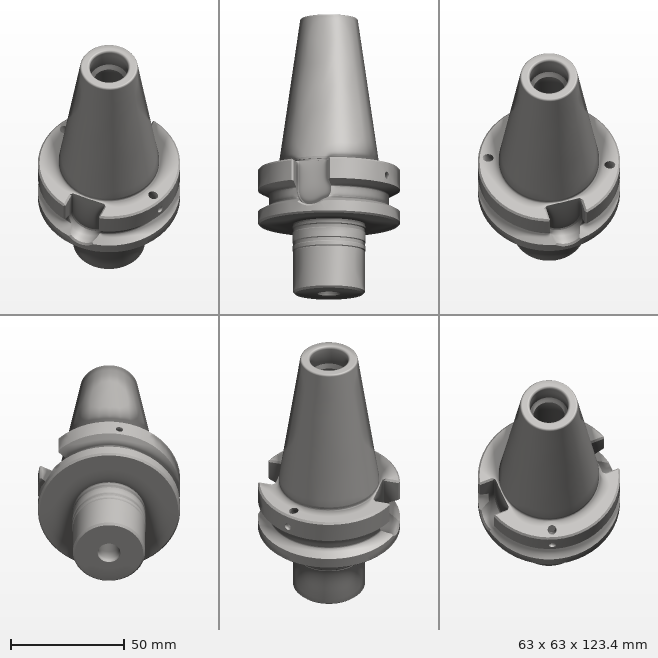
import cadquery as cq
import math


gauge_dia = 44.45
taper_length = 65.4
taper_rate = 7 / 24
taper_tip_dia = gauge_dia - taper_length * taper_rate
tip_fillet = 0.9
gauge_land_length = 1.0
neck_dia = 43.6
neck_fillet = 0.8

flange_dia = 63.0
flange_top_z = -2.0
flange_bottom_z = -27.0
flange_edge_chamfer = 0.8
groove_dia = 53.2
groove_mid_z = -16.55
groove_floor_width = 4.9
groove_rim_width = 9.9
groove_corner_radius = 0.5

spigot_dia = 32.5
nose_dia = 32.0
nose_top_z = -39.2
spigot_bottom_z = -58.0
spigot_end_chamfer = 0.9
relief_dia = 32.0
relief_length = 1.0
ring_grooves = [
    (-29.95, 2.2, 31.7),
    (-36.05, 2.2, 31.7),
    (nose_top_z, 1.0, 31.7),
]

through_dia = 10.11
thread_dia = 13.83
thread_end_z = taper_length - 30.0
pilot_dia = 17.0
pilot_depth = 9.0
mouth_fillet = 1.1
pilot_cone_angle = math.radians(45)
drill_cone_angle = math.radians(31)

slot_width = 16.1
slot_floor_y = 22.5
slot_bottom_z = -23.0
slot_edge_chamfer = 0.8
slot_floor_chamfer = 0.5

coolant_angles = (160, -20)
coolant_dia = 3.9
coolant_mouth_radius = 27.0
coolant_tilt = 35
coolant_end_z = -10.0
cross_hole_dia = 3.24
cross_hole_z = -8.1

cutter_overrun = 1.0
pick_margin = 0.05


def ring_selector(diameter, z):
    """Selector for the full circle of the given diameter around Z at height z."""
    half_size = diameter / 2 + pick_margin
    low_corner = (-half_size, -half_size, z - pick_margin)
    high_corner = (half_size, half_size, z + pick_margin)
    return cq.selectors.BoxSelector(low_corner, high_corner, boundingbox=True)


def make_body():
    """Turned outside shape."""
    flange_r = flange_dia / 2
    groove_r = groove_dia / 2
    spigot_r = spigot_dia / 2
    nose_r = nose_dia / 2
    half_rim = groove_rim_width / 2
    half_floor = groove_floor_width / 2
    relief_step = spigot_r - relief_dia / 2
    relief_end_z = flange_bottom_z - relief_length
    outline = [
        (0, taper_length),
        (taper_tip_dia / 2, taper_length),
        (gauge_dia / 2, 0),
        (gauge_dia / 2, -gauge_land_length),
        (neck_dia / 2, -gauge_land_length),
        (neck_dia / 2, flange_top_z),
        (flange_r - flange_edge_chamfer, flange_top_z),
        (flange_r, flange_top_z - flange_edge_chamfer),
        (flange_r, groove_mid_z + half_rim),
        (groove_r, groove_mid_z + half_floor),
        (groove_r, groove_mid_z - half_floor),
        (flange_r, groove_mid_z - half_rim),
        (flange_r, flange_bottom_z + flange_edge_chamfer),
        (flange_r - flange_edge_chamfer, flange_bottom_z),
        (relief_dia / 2, flange_bottom_z),
        (relief_dia / 2, relief_end_z + relief_step),
        (spigot_r, relief_end_z),
        (spigot_r, nose_top_z),
        (nose_r, nose_top_z),
        (nose_r, spigot_bottom_z + spigot_end_chamfer),
        (nose_r - spigot_end_chamfer, spigot_bottom_z),
        (0, spigot_bottom_z),
    ]
    body = cq.Workplane("XZ").polyline(outline).close().revolve(360, (0, 0), (0, 1))
    body = body.faces(">Z").edges().fillet(tip_fillet)
    body = body.edges(ring_selector(neck_dia, flange_top_z)).fillet(neck_fillet)
    for corner_z in (groove_mid_z + half_floor, groove_mid_z - half_floor):
        body = body.edges(ring_selector(groove_dia, corner_z)).fillet(groove_corner_radius)
    return body


def make_ring_groove(mid_z, width, floor_dia):
    """Ring with 45 degree walls that cuts one groove into the spigot."""
    spigot_r = spigot_dia / 2
    floor_r = floor_dia / 2
    half_mouth = width / 2
    half_floor = half_mouth - (spigot_r - floor_r)
    outside_r = spigot_r + cutter_overrun
    section = [
        (outside_r, mid_z + half_mouth),
        (spigot_r, mid_z + half_mouth),
        (floor_r, mid_z + half_floor),
        (floor_r, mid_z - half_floor),
        (spigot_r, mid_z - half_mouth),
        (outside_r, mid_z - half_mouth),
    ]
    return cq.Workplane("XZ").polyline(section).close().revolve(360, (0, 0), (0, 1))


def make_bore():
    """Stepped bore from the taper tip down to the spigot end."""
    pilot_r = pilot_dia / 2
    thread_r = thread_dia / 2
    through_r = through_dia / 2
    pilot_z = taper_length - pilot_depth
    section = [
        (0, taper_length),
        (pilot_r, taper_length),
        (pilot_r, pilot_z),
        (thread_r, pilot_z - (pilot_r - thread_r) * math.tan(pilot_cone_angle)),
        (thread_r, thread_end_z),
        (through_r, thread_end_z - (thread_r - through_r) * math.tan(drill_cone_angle)),
        (through_r, spigot_bottom_z),
        (0, spigot_bottom_z),
    ]
    return cq.Workplane("XZ").polyline(section).close().revolve(360, (0, 0), (0, 1))


def make_slot_cutter():
    """Round-ended drive slot on the -Y side, with a bevelled floor edge."""
    half_width = slot_width / 2
    arc_z = slot_bottom_z + half_width
    cutter = (
        cq.Workplane("XZ", origin=(0, -slot_floor_y, 0))
        .moveTo(-half_width, flange_top_z)
        .lineTo(-half_width, arc_z)
        .threePointArc((0, slot_bottom_z), (half_width, arc_z))
        .lineTo(half_width, flange_top_z)
        .close()
        .extrude(flange_dia / 2)
    )
    floor_edges = cutter.faces(">Y").edges("not(>Z)")
    return floor_edges.chamfer(slot_floor_chamfer)


def make_coolant_cutter(angle):
    """Hole slanting inward from the flange face, met by a radial cross hole."""
    tilt = math.radians(coolant_tilt)
    inward = cq.Vector(-math.sin(tilt), 0, -math.cos(tilt))
    mouth = cq.Vector(coolant_mouth_radius, 0, flange_top_z)
    overrun = coolant_dia
    length = (flange_top_z - coolant_end_z) / math.cos(tilt)
    start = mouth - inward * overrun
    slanted = cq.Solid.makeCylinder(coolant_dia / 2, length + overrun, start, inward)

    meeting_r = coolant_mouth_radius + (cross_hole_z - flange_top_z) * math.tan(tilt)
    cross_length = flange_dia / 2 - meeting_r + cutter_overrun
    cross_start = cq.Vector(meeting_r, 0, cross_hole_z)
    outward = cq.Vector(1, 0, 0)
    cross = cq.Solid.makeCylinder(cross_hole_dia / 2, cross_length, cross_start, outward)
    return cq.Workplane(slanted.fuse(cross)).rotate((0, 0, 0), (0, 0, 1), angle)


def slot_edges(body, side, inner_y, low_z, high_z):
    """Edges of one slot centred beyond inner_y and between two heights."""
    reach = slot_width / 2 + slot_edge_chamfer
    box = cq.selectors.BoxSelector(
        (-reach, side * inner_y, low_z), (reach, side * flange_dia, high_z)
    )
    return body.edges(box)


def bevel_slot(body, side):
    """Bevel the top edges, then the rim edges, of the slot on one Y side (1 or -1)."""
    top_low_z = flange_top_z - pick_margin
    top_high_z = flange_top_z + pick_margin
    top_inner_y = slot_floor_y + slot_floor_chamfer
    top_edges = slot_edges(body, side, top_inner_y, top_low_z, top_high_z).edges("|Y")
    body = top_edges.chamfer(slot_edge_chamfer)

    rim_corner_y = math.sqrt((flange_dia / 2) ** 2 - (slot_width / 2) ** 2)
    rim_inner_y = rim_corner_y - pick_margin
    rim_low_z = flange_bottom_z + flange_edge_chamfer + pick_margin
    rim_high_z = flange_top_z - slot_edge_chamfer - pick_margin
    rim_edges = slot_edges(body, side, rim_inner_y, rim_low_z, rim_high_z)
    return rim_edges.chamfer(slot_edge_chamfer)


result = make_body()
for mid_z, width, floor_dia in ring_grooves:
    result = result.cut(make_ring_groove(mid_z, width, floor_dia))
result = result.cut(make_bore())
bore_mouth = result.edges(ring_selector(pilot_dia, taper_length))
result = bore_mouth.fillet(mouth_fillet)

slot_cutter = make_slot_cutter()
result = result.cut(slot_cutter)
result = result.cut(slot_cutter.rotate((0, 0, 0), (0, 0, 1), 180))

for side in (1, -1):
    result = bevel_slot(result, side)

for angle in coolant_angles:
    result = result.cut(make_coolant_cutter(angle))